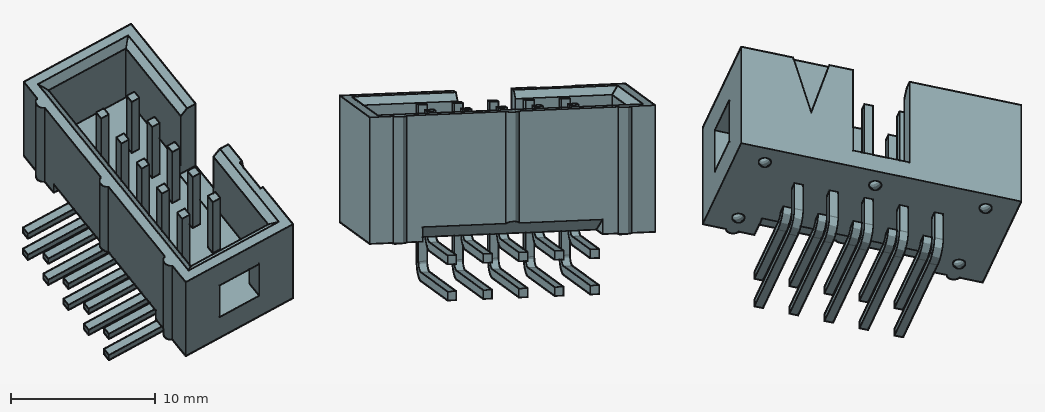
import cadquery as cq


length = 20.32
depth = 8.9
height = 8.9
wall = 1.24
floor = 2.5
rim_chamfer = 0.53

columns = 5
pitch = 2.55
pin_side = 0.63
front_row_y = 3.17
rear_row_y = front_row_y + pitch
pin_top = 8.64
tail_tip_y = -3.21
rear_tail_bottom = -3.62
front_tail_bottom = rear_tail_bottom + pitch
bend_inner_radius = 0.65

key_width = 4.1
key_depth = 1.77
key_floor = 1.46
window_width = 3.3
window_top = 6.3
mark_width = 2.62
mark_depth = 0.2
mark_height = 4.73

rib_spacing = 8.0
rib_radius = 0.5
rib_height = 0.33
nub_height = 0.33
nub_width = 0.87
nub_front_y = 1.4
nub_rear_y = 7.5

relief_width = 12.8
relief_height = 1.04
relief_depth = 1.83


def box(x_range, y_range, z_range):
    """Block given by its lower and upper limits on each axis."""
    sizes = [high - low for low, high in (x_range, y_range, z_range)]
    corner = (x_range[0], y_range[0], z_range[0])
    return cq.Workplane("XY").box(*sizes, centered=False).translate(corner)


def extrude_along_x(profile, width):
    """Extrude a closed YZ profile to both sides of X = 0."""
    return profile.extrude(width / 2, both=True)


def shell():
    """Open-topped box with a chamfered inner rim."""
    outer = box((-length / 2, length / 2), (0, depth), (0, height))
    cavity = box(
        (-length / 2 + wall, length / 2 - wall), (wall, depth - wall), (floor, height)
    )
    return outer.cut(cavity).faces(">Z").edges("not(<X or >X or <Y or >Y)").chamfer(rim_chamfer)


def ribs():
    """Full-height rounded ribs, each a cylinder partly sunk in the front wall."""
    centres = [(x, rib_radius - rib_height) for x in (-rib_spacing, 0, rib_spacing)]
    return cq.Workplane("XY").pushPoints(centres).circle(rib_radius).extrude(height)


def relief():
    """Wedge removed below the front wall, its ceiling falling to the rear and cutting the middle rib."""
    slope = relief_height / relief_depth
    front_y = -2 * rib_height
    profile = (
        cq.Workplane("YZ")
        .moveTo(front_y, 0)
        .lineTo(relief_depth, 0)
        .lineTo(front_y, (relief_depth - front_y) * slope)
        .close()
    )
    return extrude_along_x(profile, relief_width)


def key_slot():
    """Slot through the rear wall that also sinks into the floor."""
    return box((-key_width / 2, key_width / 2), (depth - key_depth, depth), (key_floor, height))


def side_window():
    """Opening through the +X wall, centred on the depth and starting at the floor."""
    middle = depth / 2
    return box(
        (length / 2 - wall, length / 2),
        (middle - window_width / 2, middle + window_width / 2),
        (floor, window_top),
    )


def first_contact_mark():
    """Shallow triangle in the rear wall behind the last +X column, pointing down."""
    centre = (columns - 1) / 2 * pitch
    return (
        cq.Workplane("XZ", origin=(centre, depth, 0))
        .moveTo(-mark_width / 2, height)
        .lineTo(mark_width / 2, height)
        .lineTo(0, height - mark_height)
        .close()
        .extrude(mark_depth)
    )


def nub(x, y):
    """Spherical cap standing below the bottom face."""
    radius = ((nub_width / 2) ** 2 + nub_height**2) / (2 * nub_height)
    ball = cq.Workplane("XY").sphere(radius).translate((x, y, radius - nub_height))
    keep = box((x - radius, x + radius), (y - radius, y + radius), (-nub_height, nub_height / 2))
    return ball.intersect(keep)


def contact(x, row_y, tail_bottom):
    """Square pin that bends from vertical to a horizontal tail."""
    front = row_y - pin_side / 2
    rear = row_y + pin_side / 2
    tail_top = tail_bottom + pin_side
    outer_radius = bend_inner_radius + pin_side
    profile = (
        cq.Workplane("YZ")
        .moveTo(front, pin_top)
        .lineTo(rear, pin_top)
        .lineTo(rear, tail_bottom + outer_radius)
        .radiusArc((rear - outer_radius, tail_bottom), outer_radius)
        .lineTo(tail_tip_y, tail_bottom)
        .lineTo(tail_tip_y, tail_top)
        .lineTo(front - bend_inner_radius, tail_top)
        .radiusArc((front, tail_top + bend_inner_radius), -bend_inner_radius)
        .close()
    )
    return extrude_along_x(profile, pin_side).translate((x, 0, 0))


result = shell().union(ribs())
for removed in (relief(), key_slot(), side_window(), first_contact_mark()):
    result = result.cut(removed)

for x, y in (
    (-rib_spacing, nub_front_y),
    (rib_spacing, nub_front_y),
    (-rib_spacing, nub_rear_y),
    (0, nub_rear_y),
    (rib_spacing, nub_rear_y),
):
    result = result.union(nub(x, y))

for column in range(columns):
    column_x = (column - (columns - 1) / 2) * pitch
    result = result.union(contact(column_x, front_row_y, front_tail_bottom))
    result = result.union(contact(column_x, rear_row_y, rear_tail_bottom))